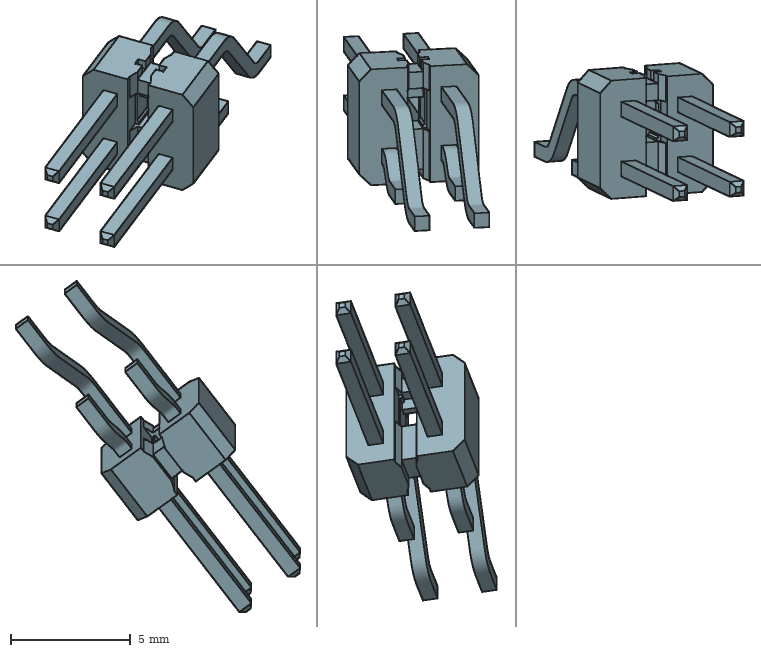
import cadquery as cq
import math

pitch = 2.54
pin_size = 0.635

housing_width = 2 * pitch
housing_depth = 2.54
housing_height = 5.03
corner_chamfer = 0.5
housing_top = housing_height / 2
housing_front = -housing_depth / 2

notch_half_width = 0.48
notch_straight_depth = 0.21
neck_half_width = 0.31
neck_depth = 1.29
neck_recess = 0.4
neck_top = housing_top - neck_recess

window_bottom = -0.36
window_top = 1.4
window_web_depth = 1.0
opening_half_width = 0.4
opening_end_gap = 0.1
opening_chamfer = opening_half_width - neck_half_width

plate_half_width = 0.65
plate_thickness = 0.32
plate_bottom = 0.88

pin_length = 15.79
tip_front = -7.28
tip_length = 0.21
tip_end_size = 0.25
shank_front = tip_front + tip_length
foot_z = (pin_size - housing_height) / 2

upper_bend_start = 3.82
upper_bend_end = 7.34
upper_bend_radius = 0.95
upper_foot_end = tip_front + pin_length
lower_bend_start = 1.54
lower_bend_end = 3.02
lower_bend_radius = 0.7
lower_foot_end = 4.29


def waist_box(half_width, depth, bottom, top):
    """Block centred on X = 0 and Y = 0, between two heights."""
    block = cq.Workplane("XY").box(2 * half_width, depth, top - bottom)
    return block.translate((0, 0, (bottom + top) / 2))


def make_notch():
    """Full-height notch in the front of the waist: straight at the mouth, then tapered."""
    taper_start = housing_front + notch_straight_depth
    return (
        cq.Workplane("XY")
        .moveTo(-notch_half_width, housing_front)
        .lineTo(-notch_half_width, taper_start)
        .lineTo(-neck_half_width, -neck_depth / 2)
        .lineTo(neck_half_width, -neck_depth / 2)
        .lineTo(notch_half_width, taper_start)
        .lineTo(notch_half_width, housing_front)
        .close()
        .extrude(housing_height / 2, both=True)
    )


def make_window():
    """Cutter for the window: pockets front and back, and the opening between them."""
    pockets = waist_box(notch_half_width, housing_depth, window_bottom, window_top)
    pockets = pockets.cut(waist_box(notch_half_width, window_web_depth, window_bottom, window_top))
    opening = waist_box(
        opening_half_width, housing_depth, window_bottom + opening_end_gap, window_top - opening_end_gap
    )
    opening = opening.edges("|Y").chamfer(opening_chamfer)
    gap = waist_box(neck_half_width, housing_depth, window_bottom, window_top)
    return pockets.union(opening).union(gap)


def make_housing_block():
    """Insulator block with its waist and window, still solid at the plate and the pins."""
    block = cq.Workplane("XY").box(housing_width, housing_depth, housing_height)
    block = block.edges("|Y").chamfer(corner_chamfer)
    front_notch = make_notch()
    block = block.cut(front_notch).cut(front_notch.mirror("XZ"))
    top_recess = waist_box(neck_half_width, neck_depth, neck_top, housing_top)
    block = block.cut(top_recess).cut(top_recess.mirror("XY"))
    return block.cut(make_window())


def make_plate(top):
    """Cross plate up to the given height, notched from above to straddle the upper neck."""
    plate = waist_box(plate_half_width, plate_thickness, plate_bottom, top)
    return plate.cut(waist_box(neck_half_width, plate_thickness, window_top, top))


def make_pin(x, z, bend_start, bend_end, bend_radius, foot_end):
    """Square pin with a pyramid tip, swept along an S-bend of two equal arcs and a tangent."""
    run = bend_end - bend_start
    drop_between_centers = z - foot_z - 2 * bend_radius
    angle = math.atan2(drop_between_centers, run)
    angle += math.asin(2 * bend_radius / math.hypot(run, drop_between_centers))
    arc_run = bend_radius * math.sin(angle)
    arc_drop = bend_radius * (1 - math.cos(angle))
    half_arc_run = bend_radius * math.sin(angle / 2)
    half_arc_drop = bend_radius * (1 - math.cos(angle / 2))
    path = (
        cq.Workplane("YZ", origin=(x, 0, 0))
        .moveTo(shank_front, z)
        .lineTo(bend_start, z)
        .threePointArc((bend_start + half_arc_run, z - half_arc_drop), (bend_start + arc_run, z - arc_drop))
        .lineTo(bend_end - arc_run, foot_z + arc_drop)
        .threePointArc((bend_end - half_arc_run, foot_z + half_arc_drop), (bend_end, foot_z))
        .lineTo(foot_end, foot_z)
    )
    section = cq.Workplane("XZ", origin=(x, shank_front, z)).rect(pin_size, pin_size)
    tip = section.workplane(offset=tip_length).rect(tip_end_size, tip_end_size).loft(combine=True)
    shank = cq.Workplane("XZ", origin=(x, shank_front, z)).rect(pin_size, pin_size).sweep(path)
    return shank.union(tip)


header = make_housing_block().cut(make_plate(housing_top))
for column_x in (-pitch / 2, pitch / 2):
    header = header.union(
        make_pin(column_x, pitch / 2, upper_bend_start, upper_bend_end, upper_bend_radius, upper_foot_end)
    )
    header = header.union(
        make_pin(column_x, -pitch / 2, lower_bend_start, lower_bend_end, lower_bend_radius, lower_foot_end)
    )

plate = make_plate(neck_top)

result = cq.Compound.makeCompound([header.solids().val(), plate.solids().val()])